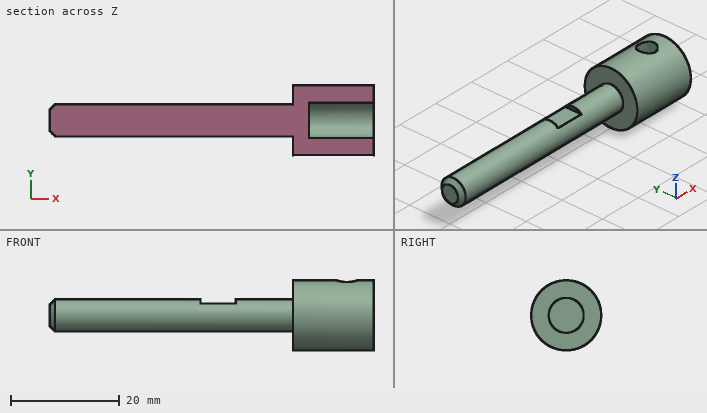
import cadquery as cq

total_length = 60.0
head_length = 15.0
head_diameter = 13.0
shaft_diameter = 6.0
tip_chamfer = 1.0

flat_start = 27.95
flat_length = 6.5
flat_depth = 0.8

bore_diameter = 6.5
bore_depth = 12.0

hole_diameter = 4.0
hole_from_head_end = 5.0

shaft_length = total_length - head_length
shaft_radius = shaft_diameter / 2
head_radius = head_diameter / 2


def make_shaft():
    shaft = cq.Workplane("YZ").circle(shaft_radius).extrude(shaft_length)
    return shaft.faces("<X").chamfer(tip_chamfer)


def make_head():
    head = cq.Workplane("YZ").workplane(offset=shaft_length)
    return head.circle(head_radius).extrude(head_length)


def make_bore_cutter():
    bore = cq.Workplane("YZ").workplane(offset=total_length - bore_depth)
    return bore.circle(bore_diameter / 2).extrude(bore_depth)


def make_flat_cutter():
    flat_height = shaft_radius - flat_depth
    cutter = cq.Workplane("XY").box(
        flat_length, shaft_diameter, shaft_diameter, centered=(False, True, False)
    )
    return cutter.translate((flat_start, 0, flat_height))


def make_hole_cutter():
    hole = cq.Workplane("XY").center(total_length - hole_from_head_end, 0)
    return hole.circle(hole_diameter / 2).extrude(head_radius)


shaft = make_shaft().cut(make_flat_cutter())
head = make_head().cut(make_bore_cutter()).cut(make_hole_cutter())
result = shaft.union(head)